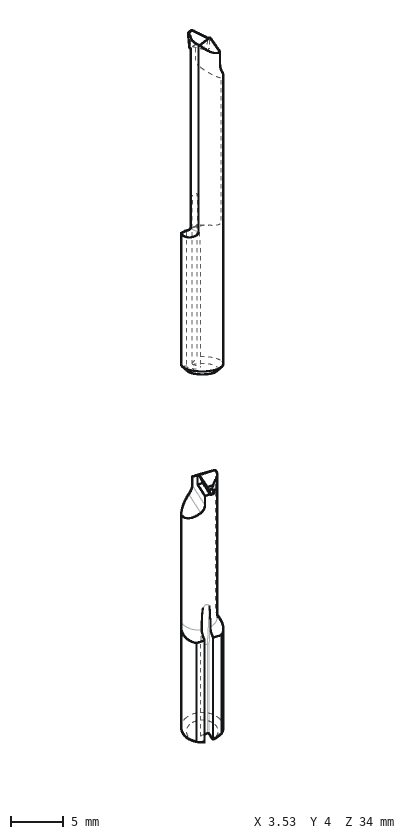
import cadquery as cq
import math

LENGTH = 34.0
SHANK_RADIUS = 2.0
FLAT_X = -1.53
END_CHAMFER = 0.5

SHOULDER_Z = 13.8
NECK_RADIUS = 1.8
NECK_LEFT_X = -0.92
NECK_X = NECK_LEFT_X + NECK_RADIUS
SHOULDER_FILLET = 0.8

GROOVE_WIDTH = 0.9
GROOVE_FILLET = 0.12
GROOVE_FLOOR_X = -0.48
GROOVE_RAMP_Z = 12.05
GROOVE_END_Z = 17.9

FACE_Y = 0.15
CLEARANCE_START_Z = 29.07
CLEARANCE_FILLET = 1.35

NOSE_X = -1.25
TOP_SLOPE_X = 0.17
TOP_SLOPE_Y = 0.07
BEVEL_TOP_X = 0.78
BEVEL_TOP_Z = 33.7

RAKE_Y = 0.05
RAKE_DROP = 0.45
EDGE_X = -1.45
EDGE_Z = 33.73
EDGE_HEEL_X = -1.12
EDGE_BOTTOM_Z = 32.55
EDGE_BACK_X = -0.55
FLANK_DEPTH = 0.37
FLANK_RELIEF = 0.2
NECK_DEPTH_AT_BACK = math.sqrt(NECK_RADIUS**2 - (NECK_X - EDGE_BACK_X) ** 2)
RAKE_END_X = 0.75

MARGIN = 3.4


def shank():
    """Round bar with a chamfered lower end and a flat on the -X side."""
    bar = cq.Workplane("XY").circle(SHANK_RADIUS).extrude(LENGTH).faces("<Z").chamfer(END_CHAMFER)
    beyond_flat = (
        cq.Workplane("XY").center(FLAT_X - MARGIN / 2, 0).rect(MARGIN, 2 * MARGIN).extrude(LENGTH)
    )
    return bar.cut(beyond_flat)


def neck_envelope():
    """Offset cylinder that flares out to the shoulder through a concave fillet."""
    fillet_end = NECK_RADIUS + SHOULDER_FILLET
    outer = fillet_end + MARGIN
    diagonal = SHOULDER_FILLET * (1 - math.sqrt(0.5))
    return (
        cq.Workplane("XZ")
        .moveTo(0, -MARGIN)
        .lineTo(outer, -MARGIN)
        .lineTo(outer, SHOULDER_Z)
        .lineTo(fillet_end, SHOULDER_Z)
        .threePointArc(
            (NECK_RADIUS + diagonal, SHOULDER_Z + diagonal),
            (NECK_RADIUS, SHOULDER_Z + SHOULDER_FILLET),
        )
        .lineTo(NECK_RADIUS, LENGTH + MARGIN)
        .lineTo(0, LENGTH + MARGIN)
        .close()
        .revolve(360, (0, 0), (0, 1))
        .translate((NECK_X, 0, 0))
    )


def coolant_groove():
    """Groove with rounded floor edges; its floor ramps out to the neck surface."""
    outside_x = FLAT_X - MARGIN
    floor_edges = cq.selectors.BoxSelector(
        (NECK_LEFT_X, -MARGIN, -2 * MARGIN), (0, MARGIN, GROOVE_END_Z)
    )
    return (
        cq.Workplane("XZ")
        .polyline([
            (outside_x, -MARGIN),
            (GROOVE_FLOOR_X, -MARGIN),
            (GROOVE_FLOOR_X, GROOVE_RAMP_Z),
            (NECK_LEFT_X, GROOVE_END_Z),
            (outside_x, GROOVE_END_Z),
        ])
        .close()
        .extrude(GROOVE_WIDTH / 2, both=True)
        .edges(floor_edges)
        .edges("not |Y")
        .fillet(GROOVE_FILLET)
    )


def chip_clearance():
    """Removes the back of the tip: upright face, fillet and 45 degree run-out."""
    back_y = NECK_RADIUS + MARGIN
    corner_z = CLEARANCE_START_Z + NECK_RADIUS - FACE_Y
    tangent = CLEARANCE_FILLET * math.tan(math.pi / 8)
    leg = tangent * math.sqrt(0.5)
    center_y = FACE_Y + CLEARANCE_FILLET
    middle = (
        center_y - CLEARANCE_FILLET * math.cos(math.pi / 8),
        corner_z + tangent - CLEARANCE_FILLET * math.sin(math.pi / 8),
    )
    return (
        cq.Workplane("YZ")
        .moveTo(FACE_Y, LENGTH + MARGIN)
        .lineTo(FACE_Y, corner_z + tangent)
        .threePointArc(middle, (FACE_Y + leg, corner_z - leg))
        .lineTo(back_y, corner_z + FACE_Y - back_y)
        .lineTo(back_y, LENGTH + MARGIN)
        .close()
        .extrude(MARGIN, both=True)
    )


def edge_section(y, relief):
    """Outline of the tooth at a given Y, its flank set back toward +X by the relief."""
    points = [
        (EDGE_X + relief, EDGE_Z),
        (EDGE_HEEL_X + relief, EDGE_BOTTOM_Z),
        (EDGE_BACK_X, EDGE_BOTTOM_Z),
        (EDGE_BACK_X, LENGTH),
        (NOSE_X + relief, LENGTH),
    ]
    return cq.Wire.makePolygon([cq.Vector(x, y, z) for x, z in points], close=True)


def cutting_edge():
    """Tooth standing out of the neck on the -X side, relieved behind and below the edge."""
    front = edge_section(RAKE_Y, 0)
    back = edge_section(-NECK_DEPTH_AT_BACK, FLANK_RELIEF)
    tooth = cq.Workplane(cq.Solid.makeLoft([front, back], True))
    plan = (
        cq.Workplane("XY")
        .polyline([
            (EDGE_X, RAKE_Y),
            (EDGE_X, RAKE_Y - FLANK_DEPTH),
            (EDGE_BACK_X, -NECK_DEPTH_AT_BACK),
            (EDGE_BACK_X, RAKE_Y),
        ])
        .close()
        .extrude(LENGTH + MARGIN)
    )
    return tooth.intersect(plan)


def above_top_face():
    """Space above the end face, which falls away from the nose toward +X and -Y."""
    def top_z(x, y):
        return LENGTH - TOP_SLOPE_X * (x - NOSE_X) - TOP_SLOPE_Y * (RAKE_Y - y)

    normal = (TOP_SLOPE_X, -TOP_SLOPE_Y, 1)
    plane = cq.Plane(origin=(0, 0, top_z(0, 0)), xDir=(1, 0, -TOP_SLOPE_X), normal=normal)
    return cq.Workplane(plane).rect(4 * MARGIN, 4 * MARGIN).extrude(2 * MARGIN)


def beyond_bevel():
    """Space outside the 45 degree bevel on the +X side of the tip."""
    return (
        cq.Workplane("XZ")
        .polyline([
            (BEVEL_TOP_X - MARGIN, BEVEL_TOP_Z + MARGIN),
            (BEVEL_TOP_X + MARGIN, BEVEL_TOP_Z - MARGIN),
            (BEVEL_TOP_X + MARGIN, BEVEL_TOP_Z + MARGIN),
        ])
        .close()
        .extrude(MARGIN, both=True)
    )


def rake_pocket():
    """Notch behind the cutting edge; its rake face leans toward -Y going down."""
    return (
        cq.Workplane("YZ", origin=(EDGE_X - MARGIN, 0, 0))
        .polyline([
            (FACE_Y, EDGE_BOTTOM_Z),
            (RAKE_Y - RAKE_DROP, EDGE_BOTTOM_Z),
            (RAKE_Y, LENGTH),
            (FACE_Y, LENGTH),
        ])
        .close()
        .extrude(RAKE_END_X - EDGE_X + MARGIN)
    )


body = shank().intersect(neck_envelope()).cut(coolant_groove()).cut(chip_clearance())
body = body.union(cutting_edge()).cut(rake_pocket())
result = body.cut(above_top_face()).cut(beyond_bevel())